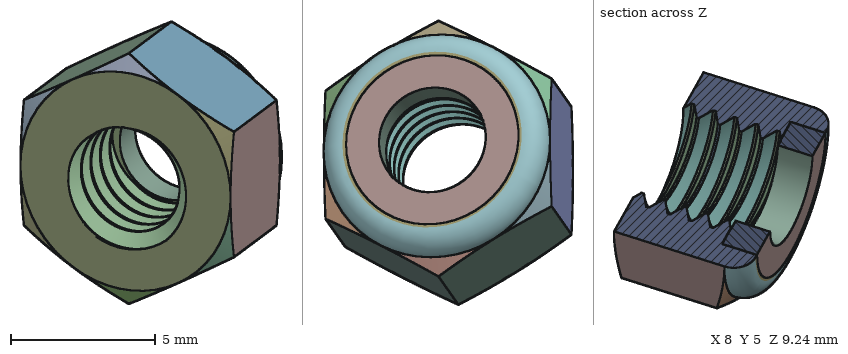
import cadquery as cq
import math

CORNER_DIAMETER = 9.24
FLAT_RADIUS = CORNER_DIAMETER / 2 * math.cos(math.radians(30))
TOTAL_LENGTH = 5.0
HEX_LENGTH = 4.17
CHAMFER_DEPTH = 0.29
DOME_RADIUS = TOTAL_LENGTH - HEX_LENGTH

PITCH = 0.8
MAJOR_RADIUS = 2.495
MINOR_RADIUS = 1.97
ROOT_WIDTH = PITCH / 8
FLANK_ANGLE = 30.0
CUTTER_OVERLAP = 0.04
ROOT_ANGLE = 74.0

RING_INNER_RADIUS = 1.885
RING_OUTER_RADIUS = 3.05
RING_START = 3.7


def cylinder(radius, start, end):
    """A cylinder around the nut axis from Y = start to Y = end."""
    return cq.Workplane("XZ", origin=(0, start, 0)).circle(radius).extrude(start - end)


def hexagonal_body():
    """Hexagonal prism with both ends cut by a cone that touches the flats."""
    corner_radius = CORNER_DIAMETER / 2
    prism = (
        cq.Workplane("XZ")
        .polygon(6, CORNER_DIAMETER)
        .extrude(-HEX_LENGTH)
        .rotate((0, 0, 0), (0, 1, 0), 30)
    )
    chamfer_envelope = (
        cq.Workplane("XY")
        .moveTo(0, 0)
        .lineTo(FLAT_RADIUS, 0)
        .lineTo(corner_radius, CHAMFER_DEPTH)
        .lineTo(corner_radius, HEX_LENGTH - CHAMFER_DEPTH)
        .lineTo(FLAT_RADIUS, HEX_LENGTH)
        .lineTo(0, HEX_LENGTH)
        .close()
        .revolve(360, (0, 0, 0), (0, 1, 0))
    )
    return prism.intersect(chamfer_envelope)


def domed_collar():
    """Rounded collar behind the hexagon."""
    return (
        cq.Workplane("XY")
        .moveTo(0, HEX_LENGTH)
        .lineTo(FLAT_RADIUS, HEX_LENGTH)
        .radiusArc((FLAT_RADIUS - DOME_RADIUS, TOTAL_LENGTH), -DOME_RADIUS)
        .lineTo(0, TOTAL_LENGTH)
        .close()
        .revolve(360, (0, 0, 0), (0, 1, 0))
    )


def thread_cutter():
    """Helical trapezoid that starts ahead of the bearing face and runs out in the ring recess."""
    lead_in = 2 * PITCH
    length = lead_in + RING_START + PITCH
    inner_radius = MINOR_RADIUS - CUTTER_OVERLAP
    root_half = ROOT_WIDTH / 2
    mouth_half = root_half + (MAJOR_RADIUS - inner_radius) * math.tan(math.radians(FLANK_ANGLE))
    helix = cq.Wire.makeHelix(PITCH, length, MINOR_RADIUS)
    groove = (
        cq.Workplane("XZ")
        .moveTo(inner_radius, -mouth_half)
        .lineTo(MAJOR_RADIUS, -root_half)
        .lineTo(MAJOR_RADIUS, root_half)
        .lineTo(inner_radius, mouth_half)
        .close()
        .sweep(cq.Workplane(obj=helix), isFrenet=True)
    )
    return (
        groove.rotate((0, 0, 0), (1, 0, 0), -90)
        .translate((0, -lead_in, 0))
        .rotate((0, 0, 0), (0, 1, 0), ROOT_ANGLE)
    )


def make_nut():
    """Hexagon nut with a threaded bore and a recess for the locking ring."""
    return (
        hexagonal_body()
        .union(domed_collar())
        .cut(cylinder(RING_OUTER_RADIUS, RING_START, TOTAL_LENGTH))
        .cut(thread_cutter())
        .cut(cylinder(MINOR_RADIUS, 0, TOTAL_LENGTH))
    )


def make_locking_ring():
    """Plain ring filling the recess, with a bore narrower than the thread."""
    ring = cylinder(RING_OUTER_RADIUS, RING_START, TOTAL_LENGTH)
    return ring.cut(cylinder(RING_INNER_RADIUS, RING_START, TOTAL_LENGTH))


nut = make_nut()
locking_ring = make_locking_ring()
result = cq.Compound.makeCompound([nut.val().Solids()[0], locking_ring.val()])